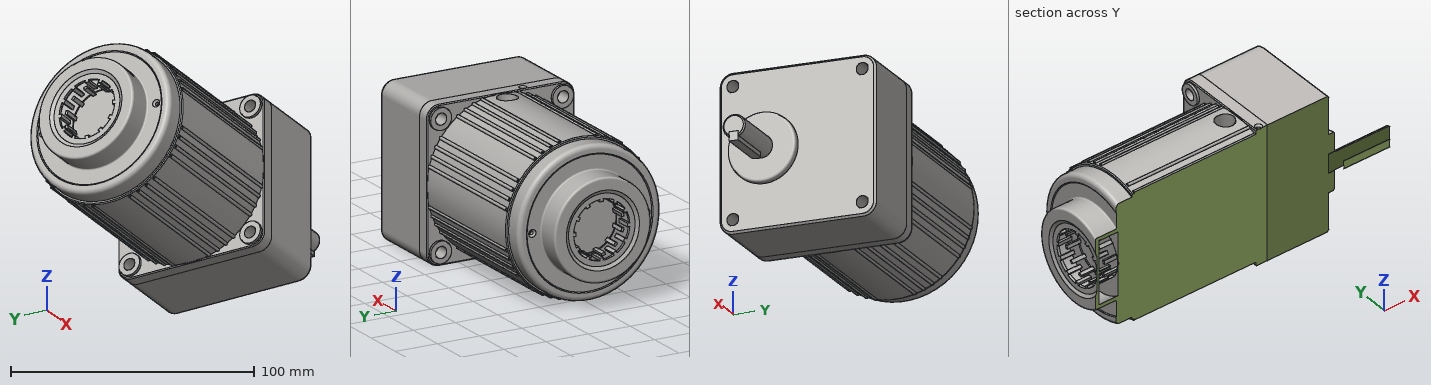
import cadquery as cq
import math

LENGTH = 154.8
FRAME_WIDTH = 70.0
CORNER_RADIUS = 5.9
GEARHEAD_CHAMFER = 1.0
MOUNT_OFFSET = 29.0
MOUNT_HOLE_RADIUS = 2.6

COVER_START = 10.8
CASING_START = 19.2
FLANGE_START = 84.4
GEARHEAD_START = 90.4
GEARHEAD_END = 122.8
PILOT_END = 125.7
KEY_START = 129.7

COLLAR_RADIUS = 22.8
COLLAR_FILLET = 1.0
COLLAR_BASE_FILLET = 0.6
CAVITY_RADIUS = 21.0
CAVITY_END = 11.8
MOUTH_RADIUS = 17.3
MOUTH_INNER_RADIUS = 15.8
MOUTH_DEPTH = 1.0
PLATE_THICKNESS = 1.2
CLAW_OUTER_RADIUS = 13.3
CLAW_INNER_RADIUS = 12.2
CLAW_WIDTH = 1.7
CLAW_LENGTH = 7.1
CLAWS_PER_SIDE = 12
FLOOR_RECESS_DEPTH = 0.6
SIDE_HOLE_RADIUS = 2.5
SIDE_HOLE_ANGLE = 40.0
SIDE_HOLE_X = 6.0

COVER_RADIUS = 33.7
COVER_FILLET = 2.0
FACE_RECESS_RADIUS = 30.0
FACE_RECESS_DEPTH = 0.3
FACE_RECESS_TAPER = 0.5
FACE_START = COVER_START + FACE_RECESS_DEPTH
COVER_SCREW_OFFSET = 27.1
SCREW_SINK_RADIUS = 1.7
SCREW_SINK_DEPTH = 0.8
SCREW_CORE_RADIUS = 0.8
SCREW_CORE_DEPTH = 2.3

CASING_RADIUS = FRAME_WIDTH / 2
CASING_CHAMFER = 0.5
RIB_RADIUS = 0.8
RIB_SINK = 0.2
RIBS_PER_GROUP = 4
RIB_PITCH_ANGLE = 7.0
FIRST_RIB_ANGLE = 14.6
RIB_START = 20.5
CABLE_HOLE_X = 78.6
CABLE_HOLE_RADIUS = 4.5
CABLE_HOLE_DEPTH = 7.7

MOUNT_PAD_RADIUS = 5.0
MOUNT_PAD_HEIGHT = 1.2
FLANGE_CHAMFER = 0.5
EARTH_HOLE_X = 86.8
EARTH_HOLE_Y = -11.9

OUTPUT_Y = -14.9
PILOT_RADIUS = 15.2
PILOT_FILLET = 1.0
SHAFT_RADIUS = 5.0
SHAFT_CHAMFER = 0.6
KEY_WIDTH = 4.0
KEY_HEIGHT = 4.0
KEY_BOTTOM = -6.5


def disc(start, end, radius, y=0.0, z=0.0):
    """Cylinder along X between two stations."""
    plane = cq.Workplane("YZ", origin=(start, y, z))
    return plane.circle(radius).extrude(end - start)


def frame_block(start, end):
    """Square frame block with rounded corners along X."""
    block = cq.Workplane("YZ", origin=(start, 0, 0)).rect(FRAME_WIDTH, FRAME_WIDTH).extrude(end - start)
    return block.edges("|X").fillet(CORNER_RADIUS)


def cone(start, end, start_radius, end_radius):
    """Cone frustum around the motor axis between two stations."""
    return cq.Workplane(
        cq.Solid.makeCone(start_radius, end_radius, end - start, cq.Vector(start, 0, 0), cq.Vector(1, 0, 0))
    )


def mount_discs(start, end, radius):
    """Four cylinders at the mounting hole positions."""
    spacing = 2 * MOUNT_OFFSET
    centers = cq.Workplane("YZ", origin=(start, 0, 0)).rect(spacing, spacing, forConstruction=True)
    return centers.vertices().circle(radius).extrude(end - start)


def screw_hole(origin, direction):
    """Cutter for a countersunk screw hole."""
    start = cq.Vector(*origin)
    inward = cq.Vector(*direction)
    sink = cq.Solid.makeCone(SCREW_SINK_RADIUS, SCREW_CORE_RADIUS, SCREW_SINK_DEPTH, start, inward)
    core = cq.Solid.makeCylinder(SCREW_CORE_RADIUS, SCREW_CORE_DEPTH, start, inward)
    return cq.Workplane(sink).union(cq.Workplane(core))


def claws(start, end, first_angle):
    """Ring of straight claw fingers along X between two stations."""
    ring = disc(start, end, CLAW_OUTER_RADIUS).cut(disc(start, end, CLAW_INNER_RADIUS))
    blade = cq.Workplane("XY").box(
        end - start, CLAW_OUTER_RADIUS, CLAW_WIDTH, centered=(False, False, True)
    ).translate((start, 0, 0))
    fingers = cq.Workplane("XY")
    for index in range(CLAWS_PER_SIDE):
        angle = first_angle + index * 360 / CLAWS_PER_SIDE
        fingers = fingers.add(blade.rotate((0, 0, 0), (1, 0, 0), angle).intersect(ring))
    return fingers.combine()


def side_hole():
    """Radial cutter through the collar wall."""
    angle = math.radians(SIDE_HOLE_ANGLE)
    outward = cq.Vector(0, -math.cos(angle), math.sin(angle))
    start = cq.Vector(SIDE_HOLE_X, 0, 0) + outward * CLAW_OUTER_RADIUS
    return cq.Workplane(cq.Solid.makeCylinder(SIDE_HOLE_RADIUS, COLLAR_RADIUS, start, outward))


def make_cover():
    """Round rear cover with a shallow recessed face and two screw holes."""
    cover = disc(COVER_START, CASING_START, COVER_RADIUS).faces("<X").edges().fillet(COVER_FILLET)
    recess = cone(COVER_START, FACE_START, FACE_RECESS_RADIUS, FACE_RECESS_RADIUS - FACE_RECESS_TAPER)
    cover = cover.cut(recess)
    for side in (-1, 1):
        cover = cover.cut(screw_hole((FACE_START, side * COVER_SCREW_OFFSET, 0), (1, 0, 0)))
    return cover


def make_rear():
    """Cover and collar, blended at the collar base, with the hollow inside and its claws."""
    collar = disc(0, FACE_START, COLLAR_RADIUS).faces("<X").edges().fillet(COLLAR_FILLET)
    rear = make_cover().union(collar)
    reach = COLLAR_RADIUS + COLLAR_BASE_FILLET
    base_edge = cq.selectors.BoxSelector(
        (FACE_START - COLLAR_BASE_FILLET, -reach, -reach),
        (FACE_START + COLLAR_BASE_FILLET, reach, reach),
        boundingbox=True,
    )
    rear = rear.edges(base_edge).edges("%CIRCLE").fillet(COLLAR_BASE_FILLET)
    floor = CAVITY_END + FLOOR_RECESS_DEPTH
    mouth = cone(0, MOUTH_DEPTH, MOUTH_RADIUS, MOUTH_INNER_RADIUS)
    bore = disc(MOUTH_DEPTH, floor, CLAW_OUTER_RADIUS)
    cavity = disc(MOUTH_DEPTH + PLATE_THICKNESS, CAVITY_END, CAVITY_RADIUS)
    rear = rear.cut(mouth).cut(bore).cut(cavity).cut(side_hole())
    half_pitch = 180 / CLAWS_PER_SIDE
    rear = rear.union(claws(MOUTH_DEPTH, MOUTH_DEPTH + CLAW_LENGTH, 0))
    return rear.union(claws(floor - CLAW_LENGTH, floor, half_pitch))


def rib_angles():
    """Two mirrored groups of ribs in every quadrant."""
    angles = []
    for quadrant in range(4):
        for index in range(RIBS_PER_GROUP):
            angle = FIRST_RIB_ANGLE + index * RIB_PITCH_ANGLE
            angles += [90 * quadrant + angle, 90 * quadrant + 90 - angle]
    return angles


def make_casing():
    """Round casing with lengthwise ribs and a cable hole on top."""
    casing = disc(CASING_START, FLANGE_START, CASING_RADIUS).faces("<X").edges().chamfer(CASING_CHAMFER)
    rib = disc(RIB_START, FLANGE_START, RIB_RADIUS, CASING_RADIUS - RIB_SINK)
    for angle in rib_angles():
        casing = casing.union(rib.rotate((0, 0, 0), (1, 0, 0), angle))
    cable_hole = (
        cq.Workplane("XY", origin=(CABLE_HOLE_X, 0, CASING_RADIUS))
        .circle(CABLE_HOLE_RADIUS)
        .extrude(-CABLE_HOLE_DEPTH)
    )
    return casing.cut(cable_hole)


def make_flange():
    """Square flange with raised pads around its mounting holes and an earth screw hole."""
    flange = frame_block(FLANGE_START, GEARHEAD_START).faces("<X").edges().chamfer(FLANGE_CHAMFER)
    pad_start = FLANGE_START - MOUNT_PAD_HEIGHT
    flange = flange.union(mount_discs(pad_start, FLANGE_START, MOUNT_PAD_RADIUS))
    flange = flange.cut(mount_discs(pad_start, GEARHEAD_START, MOUNT_HOLE_RADIUS))
    return flange.cut(screw_hole((EARTH_HOLE_X, EARTH_HOLE_Y, FRAME_WIDTH / 2), (0, 0, -1)))


def make_motor():
    """Motor with its rear cover and collar, ribbed casing and front flange."""
    return make_rear().union(make_casing()).union(make_flange())


def make_shaft():
    """Plain output shaft, before its keyway is cut."""
    return disc(GEARHEAD_END, LENGTH, SHAFT_RADIUS, OUTPUT_Y).faces(">X").edges().chamfer(SHAFT_CHAMFER)


def make_key():
    """Key under the shaft, with a round inner end."""
    end_radius = KEY_WIDTH / 2
    straight_start = KEY_START + end_radius
    return (
        cq.Workplane("XY", origin=(0, OUTPUT_Y, KEY_BOTTOM))
        .moveTo(LENGTH, -end_radius)
        .lineTo(straight_start, -end_radius)
        .threePointArc((KEY_START, 0), (straight_start, end_radius))
        .lineTo(LENGTH, end_radius)
        .close()
        .extrude(KEY_HEIGHT)
    )


def make_gearhead(shaft):
    """Gearhead block with a pilot boss that the shaft passes through."""
    block = frame_block(GEARHEAD_START, GEARHEAD_END).faces(">X").edges().chamfer(GEARHEAD_CHAMFER)
    pilot = disc(GEARHEAD_END, PILOT_END, PILOT_RADIUS, OUTPUT_Y).faces(">X").edges().fillet(PILOT_FILLET)
    block = block.cut(mount_discs(GEARHEAD_START, GEARHEAD_END, MOUNT_HOLE_RADIUS))
    return block.union(pilot).cut(shaft)


motor = make_motor()
key = make_key()
plain_shaft = make_shaft()
gearhead = make_gearhead(plain_shaft)
shaft = plain_shaft.cut(key)

result = cq.Compound.makeCompound([motor.val(), gearhead.val(), shaft.val(), key.val()])